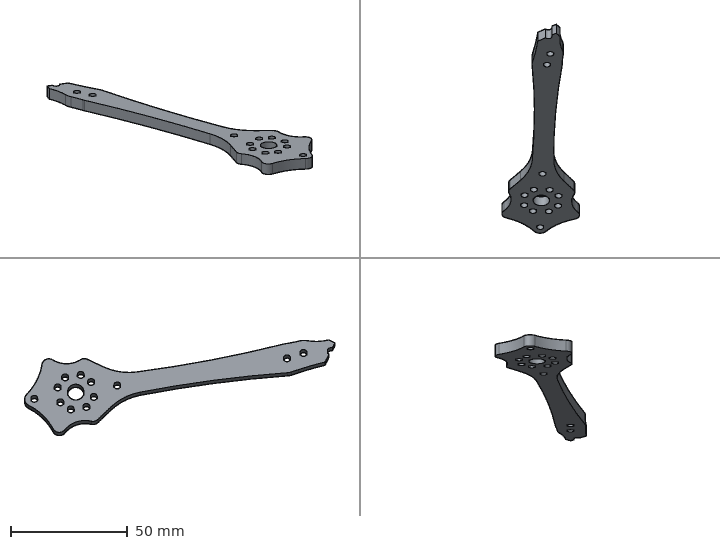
import cadquery as cq
import math

thickness = 5.0
arm_angle = 35.75

bore_diameter = 7.0
screw_diameter = 3.0
bolt_circle_radius = 8.0
bolt_pairs = 4
bolt_half_spread = 25.0
axis_hole_offset = 18.0
tail_holes = [(-74.4, -53.5), (-79.65, -58.77)]

lobe_radius = 3.0
tip_center = (19.15, 0.0)
side_scallop_center = (0.0, 24.0)
side_scallop_radius = 11.0
side_lobe_u = 9.4
rear_lobe_u = -5.6
front_scallop_radius = 25.0

waist_u = -43.6
waist_half_width = 4.33
arm_side_radius = 530.0
arm_end_u = -91.7
neck_u = -28.0
neck_radius = 25.0

tail_left_x = -89.73
tail_bottom_y = -68.74
tail_top_y = -59.15
tail_foot_length = 3.0
bite_radius = 21.4
bite_end = (-77.1, -64.0)
lower_flank_radius = 62.0
upper_flat_length = 3.9
upper_flat_angle = 45.0
upper_flank_radius = 130.0
tail_corner_radius = 7.0
slot_center_u = -110.65
slot_width = 3.0
slot_length = 6.0


def to_part(point):
    """Turn an arm frame point into X, Y."""
    angle = math.radians(arm_angle)
    u, v = point
    return (u * math.cos(angle) - v * math.sin(angle), u * math.sin(angle) + v * math.cos(angle))


def mirrored(point):
    """Reflect an arm frame point across the arm axis."""
    return (point[0], -point[1])


def toward(start, target, distance):
    """Point at a distance from start, in the direction of target."""
    span = math.dist(start, target)
    return tuple(s + (t - s) * distance / span for s, t in zip(start, target))


def midpoint(a, b):
    return ((a[0] + b[0]) / 2, (a[1] + b[1]) / 2)


def arc_middle(center, radius, a, b):
    """Middle of the shorter arc from a to b."""
    return toward(center, midpoint(a, b), radius)


def left_of_middle(a, b, offset):
    """Point beside the middle of a -> b, offset to the left."""
    chord = math.dist(a, b)
    center = midpoint(a, b)
    return (center[0] - (b[1] - a[1]) * offset / chord, center[1] + (b[0] - a[0]) * offset / chord)


def line_edge(a, b):
    return cq.Edge.makeLine(cq.Vector(*a), cq.Vector(*b))


def arc_edge(a, middle, b):
    return cq.Edge.makeThreePointArc(cq.Vector(*a), cq.Vector(*middle), cq.Vector(*b))


def bowed_arc(a, b, radius):
    """Arc of this radius from a to b, bowed to the left."""
    sagitta = radius - math.sqrt(radius**2 - (math.dist(a, b) / 2) ** 2)
    return arc_edge(a, left_of_middle(a, b, sagitta), b)


def lobe_center(u):
    """Center of a lobe that touches the side scallop from the outside."""
    reach = side_scallop_radius + lobe_radius
    offset = u - side_scallop_center[0]
    return (u, side_scallop_center[1] - math.sqrt(reach**2 - offset**2))


side_lobe = lobe_center(side_lobe_u)
rear_lobe = lobe_center(rear_lobe_u)

lobe_reach = lobe_radius + front_scallop_radius
scallop_rise = math.sqrt(lobe_reach**2 - (math.dist(tip_center, side_lobe) / 2) ** 2)
front_scallop_center = left_of_middle(side_lobe, tip_center, scallop_rise)

arm_side_center = (waist_u, waist_half_width + arm_side_radius)
center_distance = arm_side_radius - neck_radius
neck_center = (neck_u, arm_side_center[1] - math.sqrt(center_distance**2 - (neck_u - waist_u) ** 2))

lobe_span = math.dist(neck_center, rear_lobe)
lobe_direction = math.atan2(rear_lobe[1] - neck_center[1], rear_lobe[0] - neck_center[0])
shoulder_normal = lobe_direction - math.acos((neck_radius + lobe_radius) / lobe_span)


def on_normal(center, distance):
    """Point at a distance from center, square to the shoulder."""
    return (
        center[0] + distance * math.cos(shoulder_normal),
        center[1] + distance * math.sin(shoulder_normal),
    )


tip_end = toward(tip_center, front_scallop_center, lobe_radius)
front_scallop_end = toward(side_lobe, front_scallop_center, lobe_radius)
side_lobe_end = toward(side_lobe, side_scallop_center, lobe_radius)
side_scallop_end = toward(rear_lobe, side_scallop_center, lobe_radius)
shoulder_start = on_normal(rear_lobe, -lobe_radius)
shoulder_end = on_normal(neck_center, neck_radius)
neck_end = toward(arm_side_center, neck_center, arm_side_radius)
arm_end_drop = math.sqrt(arm_side_radius**2 - (arm_end_u - waist_u) ** 2)
arm_end = (arm_end_u, arm_side_center[1] - arm_end_drop)


def arm_frame_arc(center, radius, a, b):
    """Arc about an arm frame center, placed on the part."""
    return arc_edge(to_part(a), to_part(arc_middle(center, radius, a, b)), to_part(b))


def side_edges(place):
    """One side of the head and arm; place maps left side points to that side."""
    shoulder = line_edge(to_part(place(shoulder_start)), to_part(place(shoulder_end)))
    arcs = [
        (front_scallop_center, front_scallop_radius, tip_end, front_scallop_end),
        (side_lobe, lobe_radius, front_scallop_end, side_lobe_end),
        (side_scallop_center, side_scallop_radius, side_lobe_end, side_scallop_end),
        (rear_lobe, lobe_radius, side_scallop_end, shoulder_start),
        (neck_center, neck_radius, shoulder_end, neck_end),
        (arm_side_center, arm_side_radius, neck_end, arm_end),
    ]
    edges = [shoulder]
    for center, radius, a, b in arcs:
        edges.append(arm_frame_arc(place(center), radius, place(a), place(b)))
    return edges


def as_is(point):
    """Keep a point on the left side of the arm axis."""
    return point


upper_arm_end = to_part(arm_end)
lower_arm_end = to_part(mirrored(arm_end))
flat_angle = math.radians(upper_flat_angle)
flat_end = (
    upper_arm_end[0] - upper_flat_length * math.cos(flat_angle),
    upper_arm_end[1] - upper_flat_length * math.sin(flat_angle),
)
tail_top = (tail_left_x, tail_top_y)
tail_bottom = (tail_left_x, tail_bottom_y)
foot_end = (tail_left_x + tail_foot_length, tail_bottom_y)


def tail_edges():
    """Tail outline from the left arm end around to the right arm end."""
    return [
        line_edge(upper_arm_end, flat_end),
        bowed_arc(flat_end, tail_top, upper_flank_radius),
        line_edge(tail_top, tail_bottom),
        line_edge(tail_bottom, foot_end),
        bowed_arc(foot_end, bite_end, bite_radius),
        bowed_arc(bite_end, lower_arm_end, lower_flank_radius),
    ]


def make_plate():
    """Extruded outline with the tail corners rounded."""
    tip_tangent = mirrored(tip_end)
    tip_apex = (tip_center[0] + lobe_radius, tip_center[1])
    tip = arc_edge(to_part(tip_tangent), to_part(tip_apex), to_part(tip_end))
    edges = [tip] + side_edges(as_is) + side_edges(mirrored) + tail_edges()
    outline = cq.Wire.assembleEdges(edges)
    plate = cq.Workplane("XY").add(outline).toPending().extrude(thickness)
    for corner in (upper_arm_end, lower_arm_end, bite_end):
        nearest = cq.selectors.NearestToPointSelector((*corner, thickness / 2))
        plate = plate.edges("|Z").edges(nearest).fillet(tail_corner_radius)
    return plate


def bolt_positions():
    """Arm frame centers of the motor bolts, two for each axis direction."""
    points = []
    for pair in range(bolt_pairs):
        for side in (-1, 1):
            angle = math.radians(pair * 360.0 / bolt_pairs + side * bolt_half_spread)
            u = bolt_circle_radius * math.cos(angle)
            v = bolt_circle_radius * math.sin(angle)
            points.append((u, v))
    return points


def cut_holes(plate):
    axis_holes = [(axis_hole_offset, 0.0), (-axis_hole_offset, 0.0)]
    screws = [to_part(point) for point in bolt_positions() + axis_holes] + tail_holes
    plate = plate.cut(cq.Workplane("XY").circle(bore_diameter / 2).extrude(thickness))
    return plate.cut(cq.Workplane("XY").pushPoints(screws).circle(screw_diameter / 2).extrude(thickness))


def cut_tail_slot(plate):
    """Round-ended notch along the arm axis, open at the tail."""
    slot = (
        cq.Workplane("XY")
        .center(slot_center_u - slot_length / 2, 0)
        .slot2D(slot_length + slot_width, slot_width)
        .extrude(thickness)
        .rotate((0, 0, 0), (0, 0, 1), arm_angle)
    )
    return plate.cut(slot)


result = cut_tail_slot(cut_holes(make_plate()))